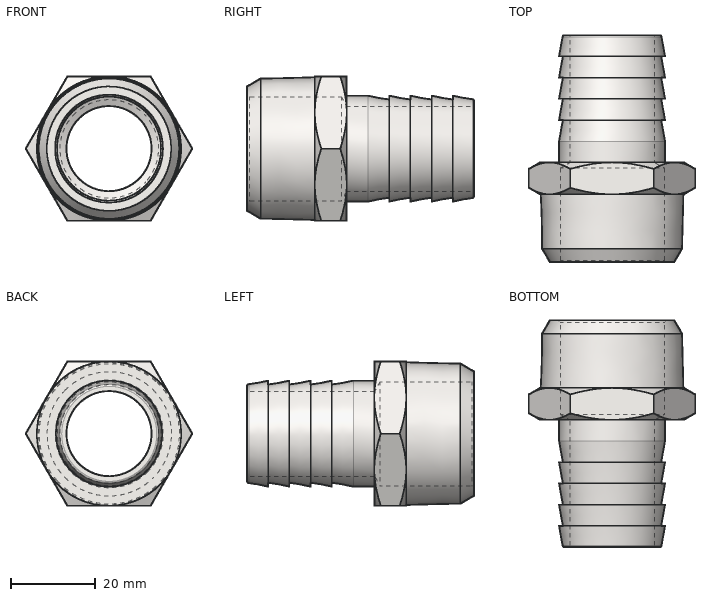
import cadquery as cq
import math

total_length = 53.5

spigot_length = 16.0
spigot_root_radius = 16.85
spigot_end_radius = 16.55
spigot_chamfer_length = 3.2
spigot_face_radius = 14.65

hex_across_flats = 34.0
hex_length = 7.5
hex_chamfer_angle = 30.0

tail_radius = 12.5
barb_root_radius = 11.6
barb_count = 5
tip_fillet = 0.5

spigot_bore_radius = 12.25
tail_bore_radius = 10.0
bore_chamfer = 0.5
bore_cone_half_angle = 60.0

hex_end = spigot_length + hex_length
barb_pitch = (total_length - hex_end) / (barb_count + 1)


def revolve_profile(points):
    """Revolve a closed (radius, y) outline around the Y axis."""
    return cq.Workplane("XY").polyline(points).close().revolve(360, (0, 0, 0), (0, 1, 0))


def make_spigot():
    return revolve_profile([
        (0, 0),
        (spigot_face_radius, 0),
        (spigot_end_radius, spigot_chamfer_length),
        (spigot_root_radius, spigot_length),
        (0, spigot_length),
    ])


def make_hexagon():
    """Hexagon with corners on X, bevelled conically at both ends."""
    flat_radius = hex_across_flats / 2
    corner_radius = flat_radius / math.cos(math.pi / 6)
    bevel_length = (corner_radius - flat_radius) * math.tan(math.radians(hex_chamfer_angle))
    prism = (
        cq.Workplane("XZ", origin=(0, spigot_length, 0))
        .polygon(6, 2 * corner_radius)
        .extrude(-hex_length)
    )
    bevel_envelope = revolve_profile([
        (0, spigot_length),
        (flat_radius, spigot_length),
        (corner_radius, spigot_length + bevel_length),
        (corner_radius, hex_end - bevel_length),
        (flat_radius, hex_end),
        (0, hex_end),
    ])
    return prism.intersect(bevel_envelope)


def make_hose_tail():
    """Plain neck followed by barbs that each narrow towards the tip."""
    points = [(0, hex_end), (tail_radius, hex_end)]
    barbs_start = hex_end + barb_pitch
    for i in range(barb_count):
        barb_start = barbs_start + i * barb_pitch
        points.append((tail_radius, barb_start))
        points.append((barb_root_radius, barb_start + barb_pitch))
    points.append((0, total_length))
    return revolve_profile(points).faces(">Y").edges().fillet(tip_fillet)


def make_bore():
    cone_length = (spigot_bore_radius - tail_bore_radius) / math.tan(math.radians(bore_cone_half_angle))
    return revolve_profile([
        (0, 0),
        (spigot_bore_radius + bore_chamfer, 0),
        (spigot_bore_radius, bore_chamfer),
        (spigot_bore_radius, hex_end - cone_length),
        (tail_bore_radius, hex_end),
        (tail_bore_radius, total_length),
        (0, total_length),
    ])


result = make_spigot().union(make_hexagon()).union(make_hose_tail()).cut(make_bore())